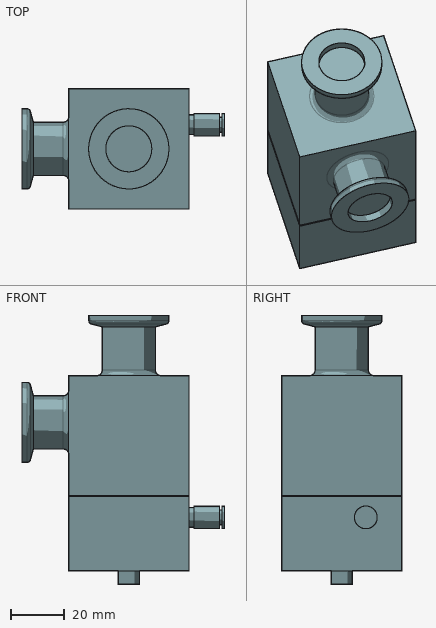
import cadquery as cq
import math

body_width = 45.0
lower_height = 28.0
upper_height = 45.0
body_height = lower_height + upper_height
joint_chamfer = 0.25

flange_diameter = 30.0
flange_rim = 2.0
flange_back_angle = 15.0
flange_edge_radius = 1.3
tube_diameter = 20.0
port_root_radius = 2.0
recess_diameter = 17.2
recess_depth = 3.0
top_port_length = 22.5
side_port_length = 17.5
side_port_drop = 17.5

fitting_y = 9.0
fitting_z = 20.0
fitting_diameter = 8.5
fitting_sections = (
    (7.5, 1.8),
    (fitting_diameter, 9.6),
    (5.7, 0.9),
    (fitting_diameter, 1.05),
)

stub_diameter = 8.0
stub_length = 5.0


def make_block(base_z, height, joint_face):
    block = cq.Workplane("XY", origin=(0, 0, base_z)).box(
        body_width, body_width, height, centered=(True, True, False)
    )
    return block.faces(joint_face).edges().chamfer(joint_chamfer)


def make_body():
    lower_block = make_block(0, lower_height, ">Z")
    upper_block = make_block(lower_height, upper_height, "<Z")
    return lower_block.union(upper_block)


def make_port(length):
    """Flanged tube standing on the XY plane along +Z, with a blind round recess in its face."""
    tube_radius = tube_diameter / 2
    flange_radius = flange_diameter / 2
    recess_radius = recess_diameter / 2
    back_angle = math.radians(flange_back_angle)
    turn = math.pi / 2 - back_angle

    edge_center_r = flange_radius - flange_edge_radius
    edge_center_z = length - flange_rim

    def edge_point(angle):
        return (
            edge_center_r + flange_edge_radius * math.cos(angle),
            edge_center_z - flange_edge_radius * math.sin(angle),
        )

    cone_outer = edge_point(turn)
    cone_inner_z = cone_outer[1] - (cone_outer[0] - tube_radius) * math.tan(back_angle)
    root_mid = port_root_radius * (1 - math.sqrt(0.5))

    profile = (
        cq.Workplane("XZ")
        .lineTo(tube_radius + port_root_radius, 0)
        .threePointArc((tube_radius + root_mid, root_mid), (tube_radius, port_root_radius))
        .lineTo(tube_radius, cone_inner_z)
        .lineTo(*cone_outer)
        .threePointArc(edge_point(turn / 2), (flange_radius, edge_center_z))
        .lineTo(flange_radius, length)
        .lineTo(recess_radius, length)
        .lineTo(recess_radius, length - recess_depth)
        .lineTo(0, length - recess_depth)
        .close()
    )
    return profile.revolve(360, (0, 0, 0), (0, 1, 0))


def make_top_port():
    return make_port(top_port_length).translate((0, 0, body_height))


def make_side_port():
    port = make_port(side_port_length).rotate((0, 0, 0), (0, 1, 0), -90)
    return port.translate((-body_width / 2, 0, body_height - side_port_drop))


def make_fitting():
    """Solid of stacked cylinders running along +X from the body wall."""
    fitting = cq.Workplane("XY")
    section_x = body_width / 2
    for diameter, length in fitting_sections:
        section_plane = cq.Workplane("YZ", origin=(section_x, fitting_y, fitting_z))
        fitting = fitting.add(section_plane.circle(diameter / 2).extrude(length))
        section_x += length
    return fitting.combine()


def make_stub():
    return cq.Workplane("XY").circle(stub_diameter / 2).extrude(-stub_length)


result = (
    make_body()
    .union(make_top_port())
    .union(make_side_port())
    .union(make_fitting())
    .union(make_stub())
)